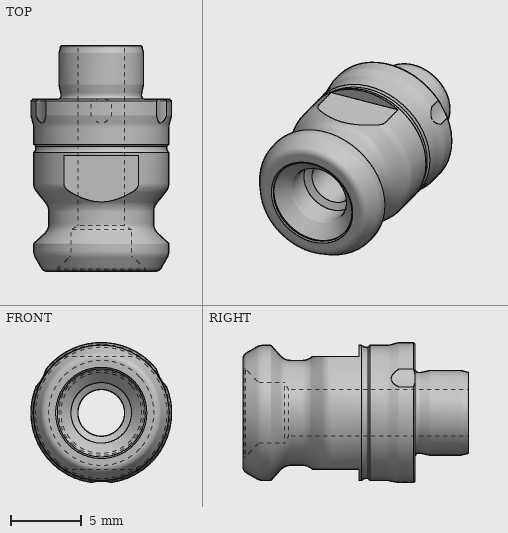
import cadquery as cq
import math

length = 16.0

body_radius = 4.8
waist_radius = 3.73
flange_radius = 5.0
spigot_radius = 3.0
spigot_relief_radius = 2.86
spigot_chamfer_radius = 2.91
groove_radius = 4.65

nose_cone_end = 1.2
rim_end = 1.98
waist_start = 2.96
waist_end = 4.6
body_start = 5.92
groove_start = 8.42
groove_floor_start = 8.56
groove_floor_end = 8.86
groove_end = 9.0
flange_taper_start = 10.34
flange_taper_end = 11.04
flange_end = 12.2
spigot_relief_end = 12.58
spigot_taper_end = 13.23
spigot_chamfer_start = 15.47
spigot_chamfer_end = 15.84

flange_chamfer = 0.13
rounding = 0.96
nose_rounding = 0.51
rim_rounding = 0.16
groove_rounding = 0.48
flange_taper_rounding = 1.12
relief_rounding = 0.25
tip_rounding = 0.13
nose_cone_angle = math.radians(30)

mouth_radius = 3.23
mouth_cone_radius = 3.12
mouth_chamfer_depth = 0.08
mouth_lip_depth = 0.2
mouth_cone_end = 1.12
mouth_cone_rounding = 0.2
counterbore_radius = 2.15
counterbore_depth = 2.96
bore_radius = 1.65
bore_cone_angle = math.radians(60)

flat_height = 4.0
flat_end = 8.22

notch_angles = (30, 150, 270)
notch_floor_radius = 4.85
notch_scoop_radius = 2.88


def rounded_revolve(corners):
    """Revolve a closed outline of (radius, y, corner rounding) about the Y axis."""
    outline = None
    for index, (x, y, rounding_radius) in enumerate(corners):
        corner = cq.Vector(x, y)
        before = cq.Vector(*corners[index - 1][:2])
        after = cq.Vector(*corners[(index + 1) % len(corners)][:2])
        if rounding_radius == 0:
            outline = outline.lineTo(x, y) if outline else cq.Workplane("XY").moveTo(x, y)
            continue
        to_before = (before - corner).normalized()
        to_after = (after - corner).normalized()
        half_angle = to_before.getAngle(to_after) / 2
        setback = rounding_radius / math.tan(half_angle)
        arc_start = corner + to_before * setback
        arc_end = corner + to_after * setback
        bisector = (to_before + to_after).normalized()
        arc_middle = corner + bisector * (rounding_radius / math.sin(half_angle) - rounding_radius)
        outline = outline.lineTo(arc_start.x, arc_start.y)
        outline = outline.threePointArc((arc_middle.x, arc_middle.y), (arc_end.x, arc_end.y))
    return outline.close().revolve(360, (0, 0, 0), (0, 1, 0))


def make_body():
    nose_radius = body_radius - nose_cone_end * math.tan(nose_cone_angle)
    return rounded_revolve([
        (0, 0, 0),
        (nose_radius, 0, nose_rounding),
        (body_radius, nose_cone_end, rounding),
        (body_radius, rim_end, rim_rounding),
        (waist_radius, waist_start, rounding),
        (waist_radius, waist_end, rounding),
        (body_radius, body_start, rounding),
        (body_radius, groove_start, 0),
        (groove_radius, groove_floor_start, groove_rounding),
        (groove_radius, groove_floor_end, 0),
        (body_radius, groove_end, 0),
        (body_radius, flange_taper_start, flange_taper_rounding),
        (flange_radius, flange_taper_end, 0),
        (flange_radius, flange_end - flange_chamfer, 0),
        (flange_radius - flange_chamfer, flange_end, 0),
        (spigot_relief_radius, flange_end, relief_rounding),
        (spigot_relief_radius, spigot_relief_end, 0),
        (spigot_radius, spigot_taper_end, 0),
        (spigot_radius, spigot_chamfer_start, 0),
        (spigot_chamfer_radius, spigot_chamfer_end, 0),
        (spigot_chamfer_radius, length, tip_rounding),
        (0, length, 0),
    ])


def make_bore():
    step_end = counterbore_depth + (counterbore_radius - bore_radius) / math.tan(bore_cone_angle)
    return rounded_revolve([
        (0, 0, 0),
        (mouth_radius, 0, 0),
        (mouth_cone_radius, mouth_chamfer_depth, 0),
        (mouth_cone_radius, mouth_lip_depth, 0),
        (counterbore_radius, mouth_cone_end, mouth_cone_rounding),
        (counterbore_radius, counterbore_depth, 0),
        (bore_radius, step_end, 0),
        (bore_radius, length, 0),
        (0, length, 0),
    ])


def make_flat_cutter():
    """Slab above the top flat, reaching from the waist to the flat's shoulder."""
    slab_height = body_radius
    slab = cq.Workplane("XY").box(
        2 * body_radius, flat_end - waist_end, slab_height, centered=(True, False, False)
    )
    return slab.translate((0, waist_end, flat_height))


def make_notch_cutter(angle):
    """Round bar parallel to Y whose nearest point to the axis is the notch floor."""
    bar_distance = notch_floor_radius + notch_scoop_radius
    bar = cq.Workplane("XZ").circle(notch_scoop_radius).extrude(-(flange_end - flange_taper_start))
    bar = bar.translate((bar_distance, flange_taper_start, 0))
    return bar.rotate((0, 0, 0), (0, 1, 0), -angle)


result = make_body().cut(make_bore())

flat_cutter = make_flat_cutter()
result = result.cut(flat_cutter).cut(flat_cutter.mirror("XY"))

for notch_angle in notch_angles:
    result = result.cut(make_notch_cutter(notch_angle))